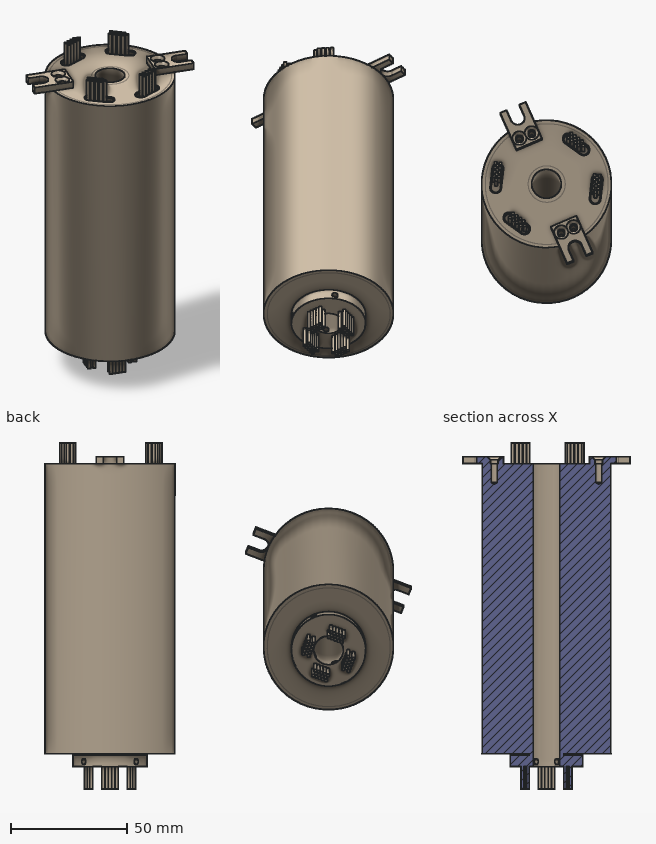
import cadquery as cq
import math


OVERALL_LENGTH = 149.2

HOUSING_DIAMETER = 56.0
HOUSING_WALL = 1.5
HOUSING_LENGTH = 125.0
BORE_DIAMETER = 12.7
ROTOR_DIAMETER = 16.0
FLANGE_DIAMETER = 32.0
FLANGE_THICKNESS = 5.0
FLANGE_CLEARANCE = 0.5

SET_SCREW_DIAMETER = 2.5
SET_SCREW_DROP = 2.8
SET_SCREW_COUNT = 4
SET_SCREW_START_ANGLE = 45.0

BRACKET_SPAN = 72.0
BRACKET_WIDTH = 12.0
BRACKET_LENGTH = 17.5
BRACKET_THICKNESS = 3.0
FORK_WIDTH = 6.0
FORK_DEPTH = 8.0
SCREW_RADIUS_POSITION = 22.5
SCREW_SPACING = 5.8
SCREW_HOLE_DIAMETER = 3.2
TAPPED_HOLE_DIAMETER = 2.5
TAPPED_HOLE_DEPTH = 8.0
DRILL_POINT_ANGLE = 118.0
COUNTERSINK_DIAMETER = 6.0
COUNTERSINK_ANGLE = 90.0

SLOT_RADIUS_POSITION = 21.55
SLOT_LENGTH = 13.2
SLOT_WIDTH = 5.0
SLOT_DEPTH = 2.0
SLOT_CHAMFER = 0.5

WIRE_DIAMETER = 1.35
TOP_WIRE_HEIGHT = 9.0
WIRE_EMBED = 1.0

TOP_PAIR_COUNT = 4
TOP_WIRE_PITCH = 1.9
TOP_LEAD_GAP = 1.55
TOP_ROW_OFFSET = 1.05
TOP_BUNDLES = [
    (30.0, 4.4, -1, 0),
    (150.0, -2.9, 1, 3),
    (210.0, -3.8, 1, 3),
    (330.0, 2.4, -1, 3),
]

BOTTOM_BUNDLE_RADIUS = 9.2
BOTTOM_BUNDLE_COUNT = 4
BOTTOM_ROW_COUNTS = (5, 4, 5)
BOTTOM_WIRE_PITCH = 1.47
BOTTOM_ROW_SPACING = 1.2

FLANGE_TOP = -FLANGE_CLEARANCE
FLANGE_BOTTOM = FLANGE_TOP - FLANGE_THICKNESS
WIRE_TOP = HOUSING_LENGTH + TOP_WIRE_HEIGHT
WIRE_BOTTOM = WIRE_TOP - OVERALL_LENGTH
CORE_DIAMETER = HOUSING_DIAMETER - 2 * HOUSING_WALL


def cylinder(diameter, bottom, top):
    return cq.Workplane("XY").workplane(offset=bottom).circle(diameter / 2).extrude(top - bottom)


def about_axis(shape, angle):
    return shape.rotate((0, 0, 0), (0, 0, 1), angle)


def tube(outer_diameter, inner_diameter, bottom, top):
    return cylinder(outer_diameter, bottom, top).cut(cylinder(inner_diameter, bottom, top))


def make_set_screw_hole(angle):
    """Radial hole from the flange rim into the bore."""
    height = FLANGE_TOP - SET_SCREW_DROP
    hole = (
        cq.Workplane("YZ")
        .center(0, height)
        .circle(SET_SCREW_DIAMETER / 2)
        .extrude(FLANGE_DIAMETER / 2)
    )
    return about_axis(hole, angle)


def make_bracket():
    """Bracket on the +Y side, its fork open outward."""
    outer_y = BRACKET_SPAN / 2
    fork_center_y = outer_y - FORK_DEPTH + FORK_WIDTH / 2
    plate = (
        cq.Workplane("XY")
        .workplane(offset=HOUSING_LENGTH)
        .center(0, outer_y - BRACKET_LENGTH / 2)
        .rect(BRACKET_WIDTH, BRACKET_LENGTH)
        .extrude(BRACKET_THICKNESS)
    )
    fork = (
        cq.Workplane("XY")
        .workplane(offset=HOUSING_LENGTH)
        .moveTo(-FORK_WIDTH / 2, outer_y)
        .lineTo(-FORK_WIDTH / 2, fork_center_y)
        .threePointArc((0, outer_y - FORK_DEPTH), (FORK_WIDTH / 2, fork_center_y))
        .lineTo(FORK_WIDTH / 2, outer_y)
        .close()
        .extrude(BRACKET_THICKNESS)
    )
    return plate.cut(fork)


def make_screw_hole():
    """Cutter on the Z axis: countersunk in the bracket, tapped with a drill point below."""
    top = HOUSING_LENGTH + BRACKET_THICKNESS
    sink_radius = COUNTERSINK_DIAMETER / 2
    clearance_radius = SCREW_HOLE_DIAMETER / 2
    tapped_radius = TAPPED_HOLE_DIAMETER / 2
    sink_depth = (sink_radius - clearance_radius) / math.tan(math.radians(COUNTERSINK_ANGLE / 2))
    point_depth = tapped_radius / math.tan(math.radians(DRILL_POINT_ANGLE / 2))
    tapped_bottom = HOUSING_LENGTH - TAPPED_HOLE_DEPTH
    profile = [
        (0, top),
        (sink_radius, top),
        (clearance_radius, top - sink_depth),
        (clearance_radius, HOUSING_LENGTH),
        (tapped_radius, HOUSING_LENGTH),
        (tapped_radius, tapped_bottom),
        (0, tapped_bottom - point_depth),
    ]
    return cq.Workplane("XZ").polyline(profile).close().revolve(360, (0, 0, 0), (0, 1, 0))


def make_wire_slot(angle):
    """Cutter for a tangential slot whose mouth is chamfered."""
    slot = (
        cq.Workplane("XY", origin=(SLOT_RADIUS_POSITION, 0, HOUSING_LENGTH - SLOT_DEPTH))
        .slot2D(SLOT_LENGTH - 2 * SLOT_CHAMFER, SLOT_WIDTH - 2 * SLOT_CHAMFER, 90)
        .extrude(SLOT_DEPTH)
    )
    mouth = (
        cq.Workplane("XY", origin=(SLOT_RADIUS_POSITION, 0, HOUSING_LENGTH))
        .slot2D(SLOT_LENGTH, SLOT_WIDTH, 90)
        .extrude(-SLOT_CHAMFER, taper=45)
    )
    return about_axis(slot.union(mouth), angle)


def make_wires(places, bottom, top):
    return (
        cq.Workplane("XY")
        .workplane(offset=bottom)
        .pushPoints(places)
        .circle(WIRE_DIAMETER / 2)
        .extrude(top - bottom)
    )


def make_top_bundle(angle, lead, direction, middle_count):
    """Wires rising from a slot floor; the lead wire stands alone at one end."""
    lead_wire = [(0, 0)]
    middle_row = [(0, TOP_LEAD_GAP + (k + 0.5) * TOP_WIRE_PITCH) for k in range(middle_count)]
    outer_rows = [
        (side * TOP_ROW_OFFSET, TOP_LEAD_GAP + k * TOP_WIRE_PITCH)
        for side in (-1, 1)
        for k in range(TOP_PAIR_COUNT)
    ]
    places = [
        (SLOT_RADIUS_POSITION + radial, lead + direction * run)
        for radial, run in lead_wire + middle_row + outer_rows
    ]
    floor = HOUSING_LENGTH - SLOT_DEPTH
    wires = make_wires(places, floor - WIRE_EMBED, WIRE_TOP)
    return about_axis(wires, angle)


def make_bottom_bundle(angle):
    """Wires hanging from the underside of the flange."""
    places = []
    inner_row_radius = BOTTOM_BUNDLE_RADIUS - (len(BOTTOM_ROW_COUNTS) - 1) / 2 * BOTTOM_ROW_SPACING
    for row, count in enumerate(BOTTOM_ROW_COUNTS):
        radial = inner_row_radius + row * BOTTOM_ROW_SPACING
        for k in range(count):
            places.append((radial, (k - (count - 1) / 2) * BOTTOM_WIRE_PITCH))
    wires = make_wires(places, WIRE_BOTTOM, FLANGE_BOTTOM + WIRE_EMBED)
    return about_axis(wires, angle)


def make_stator():
    """Core with both brackets, their screw holes, and the wires in their slots."""
    stator = tube(CORE_DIAMETER, ROTOR_DIAMETER, 0, HOUSING_LENGTH)
    bracket = make_bracket()
    screw_hole = make_screw_hole()
    for turn in (0, 180):
        stator = stator.union(about_axis(bracket, turn))
        for x in (-SCREW_SPACING / 2, SCREW_SPACING / 2):
            stator = stator.cut(about_axis(screw_hole.translate((x, SCREW_RADIUS_POSITION, 0)), turn))
    for angle, lead, direction, middle_count in TOP_BUNDLES:
        stator = stator.cut(make_wire_slot(angle))
        stator = stator.union(make_top_bundle(angle, lead, direction, middle_count))
    return stator


def make_rotor():
    """Hollow shaft with the drilled flange and its wire bundles."""
    rotor = tube(ROTOR_DIAMETER, BORE_DIAMETER, FLANGE_BOTTOM, HOUSING_LENGTH)
    rotor = rotor.union(tube(FLANGE_DIAMETER, BORE_DIAMETER, FLANGE_BOTTOM, FLANGE_TOP))
    for index in range(SET_SCREW_COUNT):
        rotor = rotor.cut(make_set_screw_hole(SET_SCREW_START_ANGLE + index * 360 / SET_SCREW_COUNT))
    for index in range(BOTTOM_BUNDLE_COUNT):
        rotor = rotor.union(make_bottom_bundle(index * 360 / BOTTOM_BUNDLE_COUNT))
    return rotor


housing_tube = tube(HOUSING_DIAMETER, CORE_DIAMETER, 0, HOUSING_LENGTH)
result = make_stator().union(housing_tube, clean=False).union(make_rotor(), clean=False)